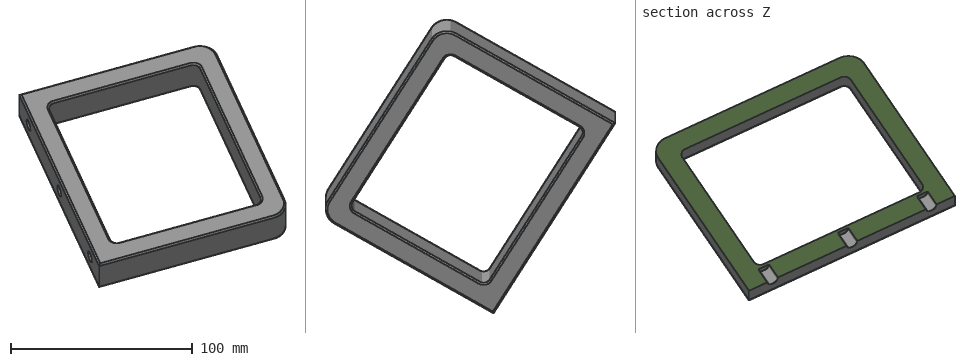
import cadquery as cq

WIDTH = 130.0
DEPTH = 112.0
HEIGHT = 20.0

BAR_WIDTH = 12.0
OUTER_CORNER_RADIUS = 10.0
WINDOW_CORNER_RADIUS = 4.0
EDGE_CHAMFER = 1.0

HOLE_DIAMETER = 6.4
HOLE_SPACING = 50.0
HOLE_POSITIONS = [-HOLE_SPACING, 0.0, HOLE_SPACING]
HOLE_DEPTH = 10.0


def make_frame():
    """Rectangular frame with rounded rear corners, all rim edges chamfered."""
    body = cq.Workplane("XY").box(WIDTH, DEPTH, HEIGHT)
    body = body.edges("|Z and >Y").fillet(OUTER_CORNER_RADIUS)

    window = cq.Workplane("XY").box(WIDTH - 2 * BAR_WIDTH, DEPTH - 2 * BAR_WIDTH, HEIGHT)
    window = window.edges("|Z").fillet(WINDOW_CORNER_RADIUS)

    return body.cut(window).faces("<Z or >Z").edges().chamfer(EDGE_CHAMFER)


def make_mounting_holes():
    """Round holes running from the front face towards +Y, at mid height."""
    front_plane = cq.Workplane("XZ", origin=(0, -DEPTH / 2, 0))
    centres = [(x, 0) for x in HOLE_POSITIONS]
    return front_plane.pushPoints(centres).circle(HOLE_DIAMETER / 2).extrude(-HOLE_DEPTH)


result = make_frame().cut(make_mounting_holes())